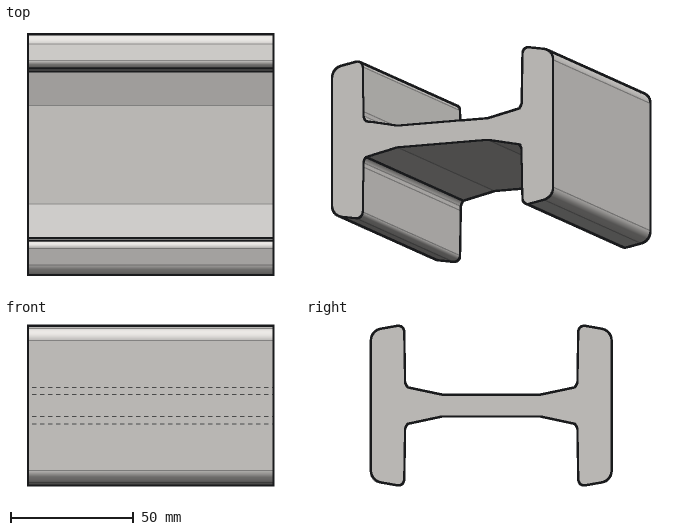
import cadquery as cq
import math

length = 100.0
width = 98.0
height = 65.0

web_thickness = 9.0
web_flat_width = 40.0
web_slope = math.radians(12.0)

flange_thickness = 14.0
inner_face_draft = math.radians(1.0)
flange_end_slope = math.radians(10.0)

root_width = 1.15
root_radius = 4.0
upright_bottom_z = 9.7
upright_top_z = 11.5

outer_tip_radius = 5.0
inner_tip_radius = 2.5

half_width = width / 2
half_height = height / 2
half_web = web_thickness / 2
half_flat = web_flat_width / 2
upright_y = half_width - flange_thickness


def arc_midpoint(start, end, radius):
    """Middle of the minor arc that bulges to the right of the start-to-end direction."""
    dy = end[0] - start[0]
    dz = end[1] - start[1]
    chord = math.hypot(dy, dz)
    sagitta = radius - math.sqrt(radius**2 - (chord / 2) ** 2)
    mid_y = (start[0] + end[0]) / 2 + sagitta * dz / chord
    mid_z = (start[1] + end[1]) / 2 - sagitta * dy / chord
    return mid_y, mid_z


def inner_face_y(z):
    """Y of the drafted inner flange face at height z."""
    return upright_y + (z - upright_top_z) * math.tan(inner_face_draft)


def flange_end_corners():
    """Sharp inner and outer corners of a flange end, before rounding."""
    circle_z = half_height - inner_tip_radius
    circle_y = inner_face_y(circle_z) + inner_tip_radius / math.cos(inner_face_draft)
    slope = math.tan(flange_end_slope)
    draft = math.tan(inner_face_draft)
    end_z_at_circle = circle_z + inner_tip_radius / math.cos(flange_end_slope)

    reach = circle_y - upright_y
    inner_rise = end_z_at_circle + reach * slope - upright_top_z
    inner_z = upright_top_z + inner_rise / (1 + slope * draft)
    outer_z = end_z_at_circle - (half_width - circle_y) * slope
    return (inner_face_y(inner_z), inner_z), (half_width, outer_z)


def make_quarter():
    """Quarter of the beam with positive Y and Z, its flange end rounded."""
    root_y = upright_y - root_width
    root = (root_y, half_web + (root_y - half_flat) * math.tan(web_slope))
    upright_bottom = (upright_y, upright_bottom_z)
    inner_corner, outer_corner = flange_end_corners()

    quarter = (
        cq.Workplane("YZ")
        .moveTo(0, 0)
        .lineTo(0, half_web)
        .lineTo(half_flat, half_web)
        .lineTo(*root)
        .threePointArc(arc_midpoint(root, upright_bottom, root_radius), upright_bottom)
        .lineTo(upright_y, upright_top_z)
        .lineTo(*inner_corner)
        .lineTo(*outer_corner)
        .lineTo(half_width, 0)
        .close()
        .extrude(length / 2, both=True)
    )
    for corner, radius in ((inner_corner, inner_tip_radius), (outer_corner, outer_tip_radius)):
        corner_edge = cq.selectors.NearestToPointSelector((0, *corner))
        quarter = quarter.edges(corner_edge).fillet(radius)
    return quarter


half = make_quarter()
half = half.union(half.mirror("XZ"))
result = half.union(half.mirror("XY")).clean()